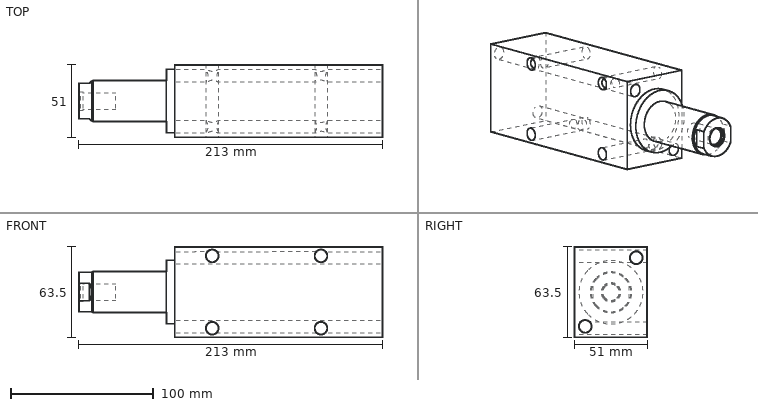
import cadquery as cq

total_length = 213.0
block_length = 145.9
block_width = 51.0
block_height = 63.5
block_start = total_length - block_length

flange_diameter = 44.7
flange_thickness = 5.8
flange_start = block_start - flange_thickness
rod_diameter = 29.0
tip_diameter = 28.0
tip_length = 9.2
shoulder_length = 0.9
tip_chamfer_length = 0.9
tip_chamfer_depth = 0.2

flats_width = 25.1
flats_length = 7.5

bore_diameter = 11.5
bore_depth = 25.5
counterbore_diameter = 12.8
counterbore_depth = 2.8
bore_chamfer_length = 0.9
bore_chamfer_depth = 0.5

hole_diameter = 8.7
cross_hole_first_x = 93.5
cross_hole_spacing_x = 76.2
cross_hole_spacing_z = 50.7
long_hole_y = 17.9
long_hole_z = 24.0


def cylinder_along_x(diameter, start, length):
    return cq.Workplane("YZ").workplane(offset=start).circle(diameter / 2).extrude(length)


def make_block():
    return (
        cq.Workplane("XY")
        .box(block_length, block_width, block_height)
        .translate((block_start + block_length / 2, 0, 0))
    )


def make_rod():
    rod_radius = rod_diameter / 2
    tip_radius = tip_diameter / 2
    return (
        cq.Workplane("XZ")
        .moveTo(0, 0)
        .lineTo(0, tip_radius - tip_chamfer_depth)
        .lineTo(tip_chamfer_length, tip_radius)
        .lineTo(tip_length, tip_radius)
        .lineTo(tip_length + shoulder_length, rod_radius)
        .lineTo(block_start, rod_radius)
        .lineTo(block_start, 0)
        .close()
        .revolve(360, (0, 0, 0), (1, 0, 0))
    )


def make_flat_cutter():
    """Material removed for the flat on the +Y side of the rod tip."""
    flat_y = flats_width / 2
    outer_y = rod_diameter
    runout_length = outer_y - flat_y
    return (
        cq.Workplane("XY")
        .moveTo(0, flat_y)
        .lineTo(flats_length, flat_y)
        .lineTo(flats_length + runout_length, outer_y)
        .lineTo(0, outer_y)
        .close()
        .extrude(rod_diameter / 2, both=True)
    )


def make_bore():
    bore_radius = bore_diameter / 2
    counterbore_radius = counterbore_diameter / 2
    return (
        cq.Workplane("XZ")
        .moveTo(0, 0)
        .lineTo(0, counterbore_radius + bore_chamfer_depth)
        .lineTo(bore_chamfer_length, counterbore_radius)
        .lineTo(counterbore_depth, counterbore_radius)
        .lineTo(counterbore_depth, bore_radius)
        .lineTo(bore_depth, bore_radius)
        .lineTo(bore_depth, 0)
        .close()
        .revolve(360, (0, 0, 0), (1, 0, 0))
    )


def make_cross_holes():
    """Four holes through the block along Y."""
    first_x = cross_hole_first_x
    hole_z = cross_hole_spacing_z / 2
    centers = [(x, z) for x in (first_x, first_x + cross_hole_spacing_x) for z in (-hole_z, hole_z)]
    return (
        cq.Workplane("XZ")
        .pushPoints(centers)
        .circle(hole_diameter / 2)
        .extrude(block_width, both=True)
    )


def make_long_holes():
    """Two diagonally opposite holes through the block along X."""
    return (
        cq.Workplane("YZ")
        .workplane(offset=block_start)
        .pushPoints([(long_hole_y, long_hole_z), (-long_hole_y, -long_hole_z)])
        .circle(hole_diameter / 2)
        .extrude(block_length)
    )


rod = make_rod().cut(make_bore())
flat_cutter = make_flat_cutter()
for cutter in (flat_cutter, flat_cutter.mirror("XZ")):
    rod = rod.cut(cutter)

block = make_block().cut(make_cross_holes()).cut(make_long_holes())
flange = cylinder_along_x(flange_diameter, flange_start, flange_thickness)

result = block.union(flange).union(rod)